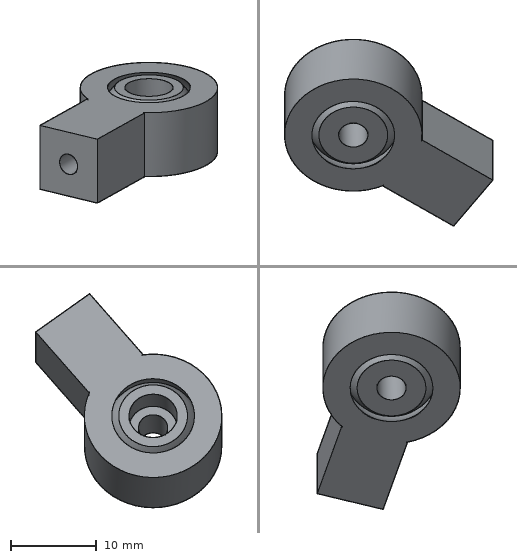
import cadquery as cq
import math

thickness = 8.0
eye_diameter = 16.0
overall_length = 25.0
shank_length = 10.0
shank_width = thickness
shank_hole_diameter = 2.5
shank_hole_depth = 8.0

ball_flat_diameter = thickness
ball_radius = math.hypot(thickness / 2, ball_flat_diameter / 2)
ball_clearance = 0.6
socket_radius = ball_radius + ball_clearance

bore_diameter = 3.4
counterbore_diameter = 5.6
counterbore_depth = 3.2

shank_end_y = eye_diameter / 2 - overall_length


def make_housing():
    """Eye centred on the origin, its shank pointing to -Y, with a spherical socket."""
    eye = cq.Workplane("XY").circle(eye_diameter / 2).extrude(thickness / 2, both=True)
    end_plane = cq.Workplane("XZ", origin=(0, shank_end_y, 0))
    shank = end_plane.rect(shank_width, thickness).extrude(-shank_length)
    shank_hole = end_plane.circle(shank_hole_diameter / 2).extrude(-shank_hole_depth)
    socket = cq.Workplane("XY").sphere(socket_radius)
    return eye.union(shank).cut(socket).cut(shank_hole)


def make_ball():
    """Loose ball with two flats, level with the housing faces, and a stepped bore."""
    flats = cq.Workplane("XY").box(2 * ball_radius, 2 * ball_radius, thickness)
    ball = cq.Workplane("XY").sphere(ball_radius).intersect(flats)
    return ball.faces(">Z").workplane(origin=(0, 0, 0)).cboreHole(
        bore_diameter, counterbore_diameter, counterbore_depth
    )


housing = make_housing()
ball = make_ball()

result = cq.Compound.makeCompound([housing.solids().val(), ball.solids().val()])